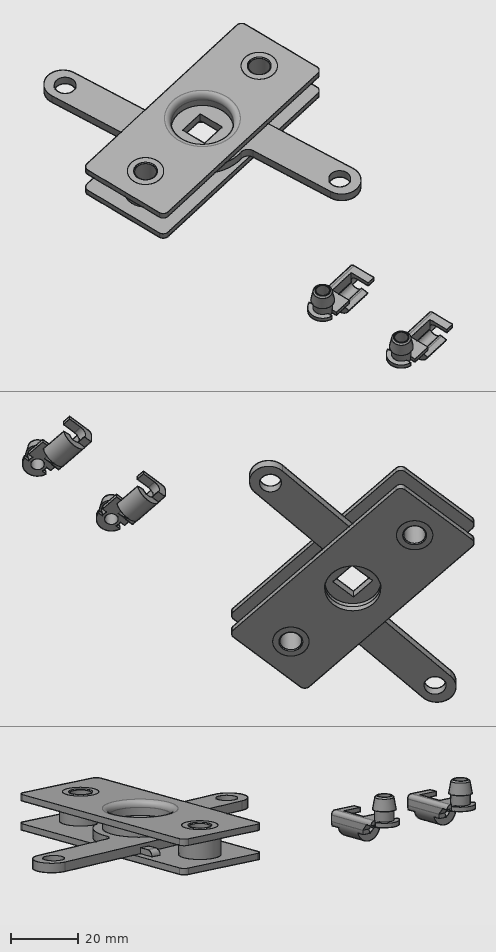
import cadquery as cq
import math

PLATE_WIDTH = 30.9
PLATE_LENGTH = 75.0
PLATE_THICKNESS = 2.0
PLATE_CORNER_RADIUS = 1.9
PLATE_GAP = 7.0
TOP_PLATE_Z = PLATE_THICKNESS + PLATE_GAP
STACK_HEIGHT = TOP_PLATE_Z + PLATE_THICKNESS

COLLAR_OUTER_RADIUS = 11.3
COLLAR_INNER_RADIUS = 9.3
COLLAR_LIP_RADIUS = COLLAR_OUTER_RADIUS - COLLAR_INNER_RADIUS

DRIVE_CLEARANCE_RADIUS = 8.3
STOP_WIDTH = 3.2
STOP_HEIGHT = 1.9
STOP_LEFT = -12.8
STOP_FRONT = -20.1
STOP_BACK = -15.0

SPACER_RADIUS = 6.3
SPACER_NECK_RADIUS = 5.4
SPACER_BORE_RADIUS = 3.2
SPACER_BORE_CHAMFER = 0.3
SPACER_OFFSET = 27.0
SPACER_POSITIONS_Y = (-SPACER_OFFSET, SPACER_OFFSET)

CAM_THICKNESS = 3.0
CAM_RADIUS = 14.0
CAM_BOSS_HEIGHT = 1.5
DRIVE_SQUARE = 8.3
ARM_END_RADIUS = 5.7
ARM_END_X = 44.3
ARM_END_Y = 11.0
ARM_HOLE_RADIUS = 3.2
ARM_HOLE_SETBACK = 0.8
ARM_ROOT_FILLET = 2.5

CLIP_POSITIONS_X = (70.0, 100.0)
CLIP_STEM_Y = -30.1
CLIP_RADIUS = 4.5
CLIP_BORE_RADIUS = 2.0
CLIP_AXIS_Z = -1.7
CLIP_PLATE_THICKNESS = 1.4
CLIP_BODY_LENGTH = 17.9
CLIP_SLIT = 1.9
CLIP_END_BAR = 2.8
CLIP_RING_LENGTH = 9.0
CLIP_WALL_DROP = 1.4
CLIP_WALL_END_SETBACK = 3.7
CLIP_WALL_SLOPE_SETBACK = 2.0
CLIP_LIP_DROP = 0.8
CLIP_LIP_FLAT_END = 2.5
CLIP_LIP_TIP_DROP = 1.2
STEM_RADIUS = 3.0
STEM_HEIGHT = 3.2
STEM_HEAD_RADIUS = 3.5
STEM_TIP_RADIUS = 2.8
STEM_HEAD_HEIGHT = 4.2
STEM_TIP_CHAMFER = 0.5
STEM_BORE_RADIUS = 2.0


def cylinder(radius, z_bottom, z_top):
    return cq.Workplane("XY").workplane(offset=z_bottom).circle(radius).extrude(z_top - z_bottom)


def y_cylinder(radius, y_min, y_max):
    return cq.Workplane("XZ").workplane(offset=-y_min).circle(radius).extrude(y_min - y_max)


def block(x_min, x_max, y_min, y_max, z_min, z_max):
    size = (x_max - x_min, y_max - y_min, z_max - z_min)
    return cq.Workplane("XY").box(*size, centered=False).translate((x_min, y_min, z_min))


def blank_plate(z_bottom):
    """Rounded plate with the two holes for the spacer necks."""
    plate = (
        cq.Workplane("XY")
        .rect(PLATE_WIDTH, PLATE_LENGTH)
        .extrude(PLATE_THICKNESS)
        .edges("|Z")
        .fillet(PLATE_CORNER_RADIUS)
    )
    neck_holes = (
        cq.Workplane("XY")
        .pushPoints([(0, y) for y in SPACER_POSITIONS_Y])
        .circle(SPACER_NECK_RADIUS)
        .extrude(PLATE_THICKNESS)
    )
    return plate.cut(neck_holes).translate((0, 0, z_bottom))


def make_top_plate():
    """Plate with a collar drawn down to the cam, its mouth rounded."""
    collar_bottom = PLATE_THICKNESS + CAM_THICKNESS
    collar = cylinder(COLLAR_OUTER_RADIUS, collar_bottom, STACK_HEIGHT)
    bore = cylinder(COLLAR_INNER_RADIUS, collar_bottom, STACK_HEIGHT)
    mouth = (
        cq.Workplane("XZ")
        .moveTo(COLLAR_INNER_RADIUS, STACK_HEIGHT - COLLAR_LIP_RADIUS)
        .radiusArc((COLLAR_OUTER_RADIUS, STACK_HEIGHT), COLLAR_LIP_RADIUS)
        .lineTo(COLLAR_INNER_RADIUS, STACK_HEIGHT)
        .close()
        .revolve(360, (0, 0, 0), (0, 1, 0))
    )
    return blank_plate(TOP_PLATE_Z).union(collar).cut(bore).cut(mouth)


def make_bottom_plate():
    """Plate with a clearance hole under the drive and a rounded stop for the lever."""
    hole = cylinder(DRIVE_CLEARANCE_RADIUS, 0, PLATE_THICKNESS)
    stop_top = PLATE_THICKNESS + STOP_HEIGHT
    stop = block(STOP_LEFT, STOP_LEFT + STOP_WIDTH, STOP_FRONT, STOP_BACK, 0, stop_top)
    stop = stop.edges("|X and >Z and <Y").fillet(STOP_HEIGHT)
    return blank_plate(0).cut(hole).union(stop)


def make_spacer(y):
    """Shouldered tube whose necks sit flush in both plates."""
    body = cylinder(SPACER_RADIUS, PLATE_THICKNESS, TOP_PLATE_Z)
    neck = cylinder(SPACER_NECK_RADIUS, 0, STACK_HEIGHT)
    bore = cylinder(SPACER_BORE_RADIUS, 0, STACK_HEIGHT)
    spacer = body.union(neck).cut(bore)
    bore_rims = cq.selectors.RadiusNthSelector(0)
    spacer = spacer.edges("%CIRCLE").edges(bore_rims).chamfer(SPACER_BORE_CHAMFER)
    return spacer.translate((0, y, 0))


def make_arm():
    """Arm toward +X, its outer edge tangent to the cam disc."""
    reach = math.hypot(ARM_END_X, ARM_END_Y)
    offset = CAM_RADIUS - ARM_END_RADIUS
    tilt = math.asin(ARM_END_Y / reach) - math.asin(offset / reach)
    length = math.sqrt(reach**2 - offset**2)
    arm = (
        cq.Workplane("XY")
        .moveTo(0, offset - ARM_END_RADIUS)
        .lineTo(length, offset - ARM_END_RADIUS)
        .threePointArc((length + ARM_END_RADIUS, offset), (length, offset + ARM_END_RADIUS))
        .lineTo(0, offset + ARM_END_RADIUS)
        .close()
        .extrude(CAM_THICKNESS)
    )
    hole = cq.Workplane("XY").center(length - ARM_HOLE_SETBACK, offset)
    hole = hole.circle(ARM_HOLE_RADIUS).extrude(CAM_THICKNESS)
    return arm.cut(hole).rotate((0, 0, 0), (0, 0, 1), math.degrees(tilt))


def make_cam():
    """Disc with two opposite arms, its middle embossed up into the collar around a square drive hole."""
    arm = make_arm()
    cam = cylinder(CAM_RADIUS, 0, CAM_THICKNESS)
    cam = cam.union(arm).union(arm.rotate((0, 0, 0), (0, 0, 1), 180))
    arm_root_y = CAM_RADIUS - 2 * ARM_END_RADIUS
    root_x = math.sqrt(CAM_RADIUS**2 - arm_root_y**2)
    for side in (-1, 1):
        root = cq.selectors.NearestToPointSelector((side * root_x, side * arm_root_y, CAM_THICKNESS / 2))
        cam = cam.edges("|Z").edges(root).fillet(ARM_ROOT_FILLET)
    cam_top = CAM_THICKNESS + CAM_BOSS_HEIGHT
    boss = cylinder(COLLAR_INNER_RADIUS, 0, cam_top)
    drive = cq.Workplane("XY").rect(DRIVE_SQUARE, DRIVE_SQUARE).extrude(cam_top)
    recess = cylinder(DRIVE_CLEARANCE_RADIUS, 0, CAM_BOSS_HEIGHT)
    return cam.union(boss).cut(recess).cut(drive).translate((0, 0, PLATE_THICKNESS))


def make_clip(x):
    """Rod clip: C-shaped hook under a plate, ending in a hollow snap stem.

    It is built with the stem on the Z axis and the rod axis at Z = 0, then moved into place.
    """
    plate_bottom = CLIP_BORE_RADIUS
    plate_top = plate_bottom + CLIP_PLATE_THICKNESS
    near_end = CLIP_SLIT / 2
    far_end = near_end + CLIP_BODY_LENGTH
    ring_end = far_end - CLIP_END_BAR
    ring_start = ring_end - CLIP_RING_LENGTH

    plate_and_wall = block(-CLIP_RADIUS, CLIP_RADIUS, near_end, far_end, 0, plate_top)
    plate_and_wall = plate_and_wall.edges("|Y and <X and >Z").fillet(CLIP_PLATE_THICKNESS)
    wall_foot = y_cylinder(CLIP_RADIUS, near_end, far_end)
    wall_foot = wall_foot.intersect(block(-CLIP_RADIUS, 0, near_end, far_end, -CLIP_WALL_DROP, 0))
    under_plate = block(0, CLIP_RADIUS, near_end, far_end, -CLIP_WALL_DROP, plate_bottom)
    body = plate_and_wall.union(wall_foot).cut(under_plate)

    wall_end = (
        cq.Workplane("YZ")
        .moveTo(near_end, plate_bottom)
        .lineTo(near_end + CLIP_WALL_SLOPE_SETBACK, plate_bottom)
        .lineTo(near_end + CLIP_WALL_END_SETBACK, 0)
        .lineTo(near_end + CLIP_WALL_END_SETBACK, -CLIP_WALL_DROP)
        .lineTo(near_end, -CLIP_WALL_DROP)
        .close()
        .extrude(CLIP_RADIUS, both=True)
    )
    body = body.cut(wall_end)

    window = (
        cq.Workplane("XZ")
        .workplane(offset=-ring_start)
        .moveTo(-CLIP_BORE_RADIUS, plate_top)
        .lineTo(-CLIP_BORE_RADIUS, -CLIP_LIP_DROP)
        .lineTo(CLIP_LIP_FLAT_END, -CLIP_LIP_DROP)
        .lineTo(CLIP_RADIUS, -CLIP_LIP_TIP_DROP)
        .lineTo(CLIP_RADIUS, plate_top)
        .close()
        .extrude(-CLIP_RING_LENGTH)
    )
    ring = y_cylinder(CLIP_RADIUS, ring_start, ring_end)
    ring = ring.intersect(block(-CLIP_RADIUS, CLIP_RADIUS, ring_start, ring_end, -CLIP_RADIUS, 0))
    channel = y_cylinder(CLIP_BORE_RADIUS, near_end, far_end)
    body = body.union(ring).cut(window).cut(channel)

    flange = cylinder(CLIP_RADIUS, plate_bottom, plate_top)
    flange = flange.cut(block(-CLIP_RADIUS, CLIP_RADIUS, -near_end, CLIP_RADIUS, plate_bottom, plate_top))
    shoulder = plate_top + STEM_HEIGHT
    stem = cylinder(STEM_RADIUS, plate_bottom, shoulder)
    head = (
        cq.Workplane("XY")
        .workplane(offset=shoulder)
        .circle(STEM_HEAD_RADIUS)
        .workplane(offset=STEM_HEAD_HEIGHT)
        .circle(STEM_TIP_RADIUS)
        .loft()
        .faces(">Z")
        .chamfer(STEM_TIP_CHAMFER)
    )
    bore = cylinder(STEM_BORE_RADIUS, plate_bottom, shoulder + STEM_HEAD_HEIGHT)
    clip = body.union(flange).union(stem).union(head).cut(bore)
    return clip.translate((x, CLIP_STEM_Y, CLIP_AXIS_Z))


top_plate = make_top_plate()
bottom_plate = make_bottom_plate()
spacers = [make_spacer(y) for y in SPACER_POSITIONS_Y]
cam = make_cam()
clips = [make_clip(x) for x in CLIP_POSITIONS_X]

result = cq.Compound.makeCompound([
    top_plate.solids().val(),
    bottom_plate.solids().val(),
    *[spacer.solids().val() for spacer in spacers],
    cam.solids().val(),
    *[clip.solids().val() for clip in clips],
])